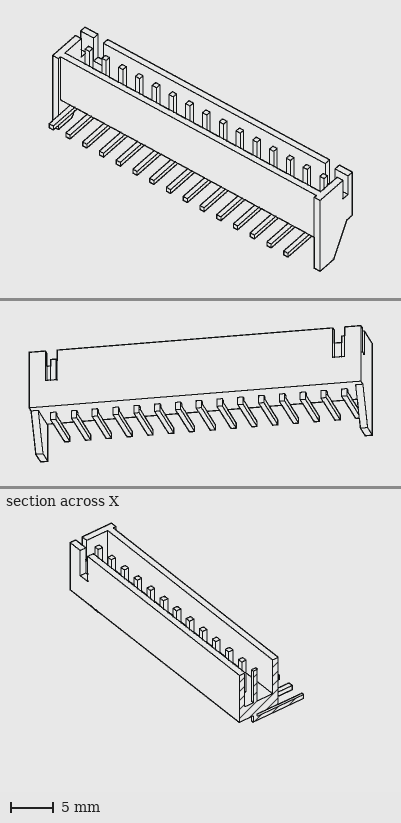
import cadquery as cq

length = 39.9
end_depth = 6.15
end_height = 11.5
wall = 0.85
end_thickness = 0.88
shroud_height = 7.0
front_setback = 0.4
floor_thickness = 2.0

foot_step = 1.05
foot_depth = 2.6
slot_width = 0.95
slot_depth = 3.0

notch_inset = 1.95
notch_width = 1.45
notch_depth = 3.7

pin_count = 15
pin_row_span = 35.0
pin_size = 0.65
pin_setback = 2.35
pin_tip_drop = 0.3
pin_reach = 3.4
tail_drop = 7.6

front_y = 0.0
back_y = front_y + end_depth
front_wall_y = front_y + front_setback
top_z = end_height
shroud_z = top_z - shroud_height
half_length = length / 2


def box(x_range, y_range, z_range):
    """Box spanning the given (low, high) pairs."""
    sizes = [high - low for low, high in (x_range, y_range, z_range)]
    corner = (x_range[0], y_range[0], z_range[0])
    return cq.Workplane("XY").box(*sizes, centered=False).translate(corner)


def end_plate(outer_x):
    """Slotted end plate with a sloped foot, starting at outer_x and running to +X."""
    slot_back = back_y - wall
    slot_front = slot_back - slot_width
    slot_floor = top_z - slot_depth
    outline = [
        (front_y, 0),
        (front_y, top_z),
        (slot_front, top_z),
        (slot_front, slot_floor),
        (slot_back, slot_floor),
        (slot_back, top_z),
        (back_y, top_z),
        (back_y, shroud_z),
        (back_y - foot_step, shroud_z),
        (front_y + foot_depth, 0),
    ]
    return cq.Workplane("YZ").polyline(outline).close().extrude(end_thickness).translate((outer_x, 0, 0))


def shroud():
    """Front wall, notched back wall and floor between the end plates."""
    inner_x = half_length - end_thickness
    x_range = (-inner_x, inner_x)
    z_range = (shroud_z, top_z)
    front_wall = box(x_range, (front_wall_y, front_wall_y + wall), z_range)
    back_wall = box(x_range, (back_y - wall, back_y), z_range)
    for side in (-1, 1):
        edges = sorted(side * (half_length - inset) for inset in (notch_inset, notch_inset + notch_width))
        back_wall = back_wall.cut(box(edges, (back_y - wall, back_y), (top_z - notch_depth, top_z)))
    floor = box(x_range, (front_wall_y, back_y), (shroud_z, shroud_z + floor_thickness))
    return front_wall.union(back_wall).union(floor)


def pin(center_x):
    """Square pin standing in the shroud and bent to a tail pointing to -Y."""
    half = pin_size / 2
    x_range = (center_x - half, center_x + half)
    pin_y = back_y - pin_setback
    tail_z = top_z - tail_drop
    post = box(x_range, (pin_y - half, pin_y + half), (tail_z - half, top_z - pin_tip_drop))
    tail = box(x_range, (front_y - pin_reach, pin_y + half), (tail_z - half, tail_z + half))
    return post.union(tail)


result = shroud()
for outer_x in (-half_length, half_length - end_thickness):
    result = result.union(end_plate(outer_x))

pin_pitch = pin_row_span / (pin_count - 1)
for index in range(pin_count):
    result = result.union(pin(index * pin_pitch - pin_row_span / 2))